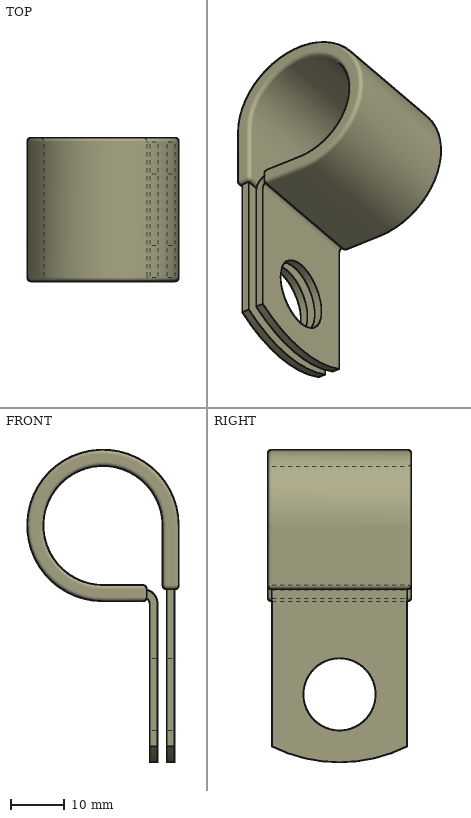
import cadquery as cq
import math

outer_radius = 14.23
inner_radius = 11.15
cushion_width = 27.0
cushion_fillet = 0.75
cushion_foot_end_x = 8.2
cushion_side_end_z = -11.95

strap_thickness = 1.5
strap_width = 25.35
strap_outer_radius = (outer_radius + inner_radius + strap_thickness) / 2
strap_inner_radius = strap_outer_radius - strap_thickness
near_leg_outer_x = 10.25
near_leg_inner_x = near_leg_outer_x - strap_thickness
bend_inner_radius = 1.3
bend_outer_radius = bend_inner_radius + strap_thickness

overall_height = 58.65
bottom_z = outer_radius - overall_height
hole_diameter = 13.5
hole_z = -31.7
end_arc_rise = 3.0

diagonal = math.sqrt(0.5)


def loop_outline(outer, inner, side_end_z):
    """Start a three-quarter loop outline, from the foot's inner face to its outer face."""
    return (
        cq.Workplane("XZ")
        .moveTo(0, -inner)
        .threePointArc((-inner * diagonal, inner * diagonal), (inner, 0))
        .lineTo(inner, side_end_z)
        .lineTo(outer, side_end_z)
        .lineTo(outer, 0)
        .threePointArc((-outer * diagonal, outer * diagonal), (0, -outer))
    )


def make_cushion():
    outline = (
        loop_outline(outer_radius, inner_radius, cushion_side_end_z)
        .lineTo(cushion_foot_end_x, -outer_radius)
        .lineTo(cushion_foot_end_x, -inner_radius)
        .close()
    )
    body = outline.extrude(cushion_width / 2, both=True)
    rims = body.faces("<Y or >Y").edges()
    ends = body.edges("|Y").edges(
        cq.selectors.BoxSelector(
            (cushion_foot_end_x - 0.6, -cushion_width, -outer_radius - 0.6),
            (outer_radius + 0.6, cushion_width, cushion_side_end_z + 1.2),
        )
    )
    return rims.add(ends).fillet(cushion_fillet)


def make_strap():
    bend_x = near_leg_outer_x - bend_outer_radius
    bend_z = -strap_inner_radius - bend_outer_radius
    outer_mid = bend_outer_radius * diagonal
    inner_mid = bend_inner_radius * diagonal
    outline = (
        loop_outline(strap_outer_radius, strap_inner_radius, bottom_z)
        .lineTo(bend_x, -strap_outer_radius)
        .threePointArc((bend_x + inner_mid, bend_z + inner_mid), (near_leg_inner_x, bend_z))
        .lineTo(near_leg_inner_x, bottom_z)
        .lineTo(near_leg_outer_x, bottom_z)
        .lineTo(near_leg_outer_x, bend_z)
        .threePointArc((bend_x + outer_mid, bend_z + outer_mid), (bend_x, -strap_inner_radius))
        .close()
    )
    return outline.extrude(strap_width / 2, both=True)


def make_leg_profile():
    """Solid spanning both legs along X: strap width, arched lower end and bolt hole."""
    half_width = strap_width / 2
    corner_z = bottom_z + end_arc_rise
    return (
        cq.Workplane("YZ")
        .moveTo(-half_width, outer_radius)
        .lineTo(-half_width, corner_z)
        .threePointArc((0, bottom_z), (half_width, corner_z))
        .lineTo(half_width, outer_radius)
        .close()
        .moveTo(0, hole_z)
        .circle(hole_diameter / 2)
        .extrude(outer_radius, both=True)
    )


strap = make_strap().intersect(make_leg_profile())
result = make_cushion().union(strap)